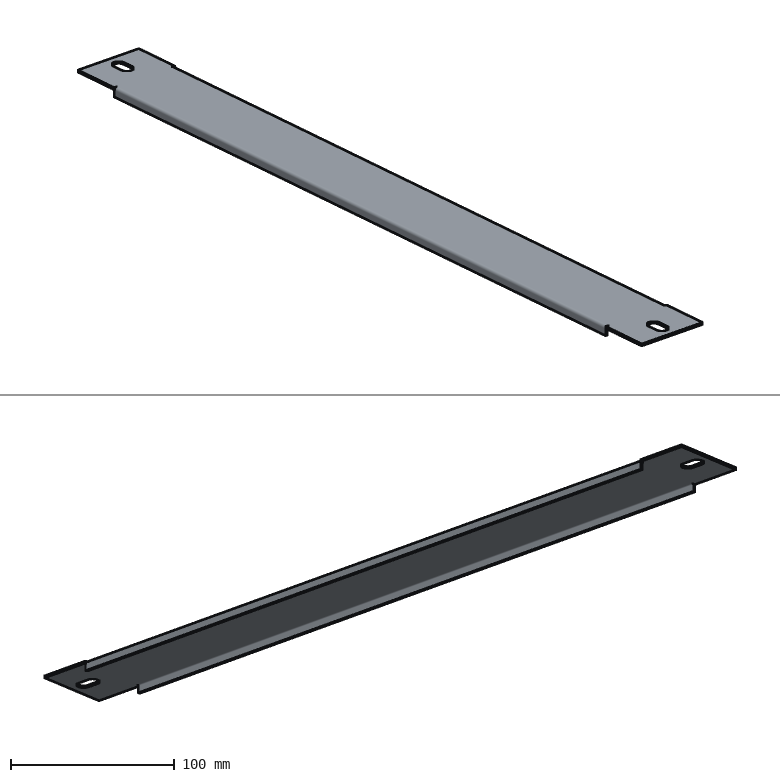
import cadquery as cq

panel_length = 530.0
panel_width = 49.0
panel_height = 6.5
sheet_thickness = 1.5
bend_outer_radius = 2.0
ear_length = 34.0
slot_length = 16.0
slot_width = 8.5
slot_spacing = 503.0

channel_length = panel_length - 2 * ear_length
bend_inner_radius = bend_outer_radius - sheet_thickness


def make_face_plate():
    """Flat sheet running the full length, with its top face at Z = 0."""
    return cq.Workplane("XY").box(
        panel_length, panel_width, sheet_thickness, centered=(True, True, False)
    ).translate((0, 0, -sheet_thickness))


def make_block(width, height, top):
    """Rectangular bar of the channel length whose upper face is at the given Z."""
    return cq.Workplane("XY").box(
        channel_length, width, height, centered=(True, True, False)
    ).translate((0, 0, top - height))


def make_channel():
    """Downward-opening channel with rounded bends along both long edges."""
    outside = make_block(panel_width, panel_height, 0)
    outside = outside.edges("|X and >Z").fillet(bend_outer_radius)
    inside_width = panel_width - 2 * sheet_thickness
    inside = make_block(inside_width, panel_height, -sheet_thickness)
    inside = inside.edges("|X and >Z").fillet(bend_inner_radius)
    return outside.cut(inside)


def make_ears():
    """The parts of the face plate that lie beyond the channel ends."""
    middle = make_block(panel_width, panel_height, 0)
    return make_face_plate().cut(middle)


def make_slots():
    """Rounded mounting slots through both ears."""
    slot_x = slot_spacing / 2
    return (
        cq.Workplane("XY")
        .pushPoints([(-slot_x, 0), (slot_x, 0)])
        .slot2D(slot_length, slot_width)
        .extrude(-sheet_thickness)
    )


result = make_channel().union(make_ears()).cut(make_slots())